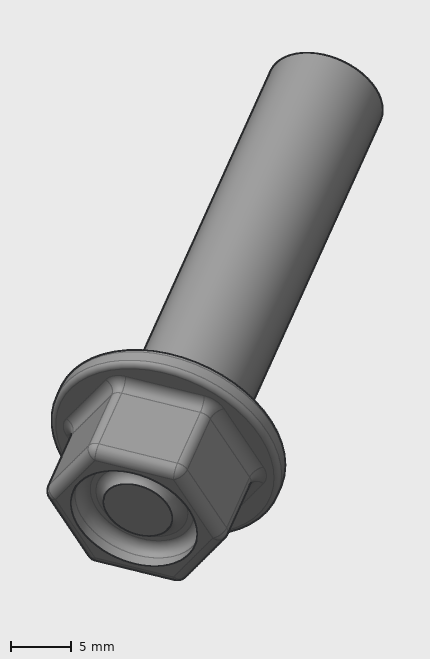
import cadquery as cq
import math

total_length = 50.0
head_height = 10.0
shank_diameter = 10.0

flange_diameter = 20.0
flange_thickness = 2.0
flange_edge_radius = 0.5

hex_side = 8.0
hex_across_corners = 2 * hex_side
hex_radius = 1.0

recess_diameter = 11.0
recess_depth = 2.0
boss_diameter = 6.0
recess_radius = 1.0
boss_height = recess_radius

head_face = -total_length / 2
flange_back = head_face + head_height
flange_front = flange_back - flange_thickness
hex_height = head_height - flange_thickness


def plane_at(y):
    """XZ plane at height y whose extrusions run toward +Y."""
    return cq.Workplane(cq.Plane(origin=(0, y, 0), xDir=(1, 0, 0), normal=(0, 1, 0)))


def make_flange():
    disc = plane_at(flange_front).circle(flange_diameter / 2).extrude(flange_thickness)
    return disc.edges().fillet(flange_edge_radius)


def make_hexagon():
    prism = plane_at(head_face).polygon(6, hex_across_corners).extrude(hex_height)
    return prism.edges("|Y").fillet(hex_radius)


def make_shank():
    length = total_length - head_height
    return plane_at(flange_back).circle(shank_diameter / 2).extrude(length)


def make_recess():
    """Half section revolved about the bolt axis, with the boss left standing in the middle."""
    wall = recess_diameter / 2
    boss = boss_diameter / 2
    floor = head_face + recess_depth
    boss_top = floor - boss_height
    arc_inset = recess_radius * (1 - math.sqrt(0.5))
    section = (
        cq.Workplane("XY")
        .moveTo(0, head_face)
        .lineTo(wall, head_face)
        .lineTo(wall, floor - recess_radius)
        .threePointArc((wall - arc_inset, floor - arc_inset), (wall - recess_radius, floor))
        .lineTo(boss + recess_radius, floor)
        .threePointArc((boss + arc_inset, floor - arc_inset), (boss, boss_top))
        .lineTo(0, boss_top)
        .close()
    )
    return section.revolve(360, (0, 0, 0), (0, 1, 0))


head = make_flange().union(make_hexagon())

margin = 0.05
joint_reach = flange_diameter / 2 - 2 * flange_edge_radius
joint_box = cq.selectors.BoxSelector(
    (-joint_reach, flange_front - margin, -joint_reach),
    (joint_reach, flange_front + margin, joint_reach),
    boundingbox=True,
)
head = head.edges(joint_box).fillet(hex_radius)
head = head.faces("<Y").edges().fillet(hex_radius)

result = head.union(make_shank()).cut(make_recess())